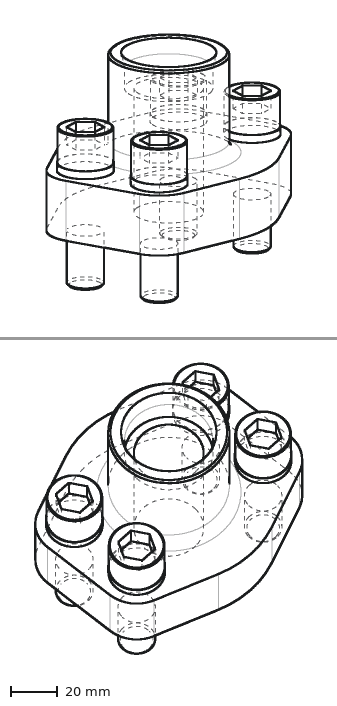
import cadquery as cq
import math

plate_width = 95.7
plate_length = 113.0
plate_thickness = 27.0
side_radius = plate_width / 2
screw_x = 36.5 / 2
screw_y = 79.4 / 2
corner_radius = plate_length / 2 - screw_y

collar_diameter = 52.0
collar_height = 45.0
collar_chamfer = 1.0
collar_fillet = 5.0
through_bore = 30.0
socket_diameter = 38.0
socket_depth = 16.0
mouth_depth = 6.8
mouth_half_angle = 12.0

washer_diameter = 24.4
washer_thickness = 3.5
head_diameter = 24.0
head_height = 16.0
head_chamfer = 0.5
shank_diameter = 16.0
shank_protrusion = 24.5
shank_chamfer = 1.0
hex_across_flats = 14.0
hex_depth = 8.0


def make_plate():
    """Plate with its underside on Z = 0."""
    screw_distance = math.hypot(screw_x, screw_y)
    tangent_angle = math.atan2(screw_y, screw_x) - math.acos((side_radius - corner_radius) / screw_distance)

    def on_corner(angle):
        return (screw_x + corner_radius * math.cos(angle), screw_y + corner_radius * math.sin(angle))

    side_x = side_radius * math.cos(tangent_angle)
    side_y = side_radius * math.sin(tangent_angle)
    corner_x, corner_y = on_corner(tangent_angle)
    middle_x, middle_y = on_corner((tangent_angle + math.pi / 2) / 2)
    end_y = plate_length / 2

    return (
        cq.Workplane("XY")
        .moveTo(side_x, -side_y)
        .threePointArc((side_radius, 0), (side_x, side_y))
        .lineTo(corner_x, corner_y)
        .threePointArc((middle_x, middle_y), (screw_x, end_y))
        .lineTo(-screw_x, end_y)
        .threePointArc((-middle_x, middle_y), (-corner_x, corner_y))
        .lineTo(-side_x, side_y)
        .threePointArc((-side_radius, 0), (-side_x, -side_y))
        .lineTo(-corner_x, -corner_y)
        .threePointArc((-middle_x, -middle_y), (-screw_x, -end_y))
        .lineTo(screw_x, -end_y)
        .threePointArc((middle_x, -middle_y), (corner_x, -corner_y))
        .close()
        .extrude(plate_thickness)
    )


def make_collar():
    """Chamfered collar standing on the plate, flared at its foot by a concave fillet."""
    radius = collar_diameter / 2
    top = plate_thickness + collar_height
    fillet_center_x = radius + collar_fillet
    fillet_center_z = plate_thickness + collar_fillet
    fillet_middle = (
        fillet_center_x - collar_fillet * math.cos(math.pi / 4),
        fillet_center_z - collar_fillet * math.sin(math.pi / 4),
    )
    return (
        cq.Workplane("XZ")
        .moveTo(0, 0)
        .lineTo(fillet_center_x, 0)
        .lineTo(fillet_center_x, plate_thickness)
        .threePointArc(fillet_middle, (radius, fillet_center_z))
        .lineTo(radius, top - collar_chamfer)
        .lineTo(radius - collar_chamfer, top)
        .lineTo(0, top)
        .close()
        .revolve(360, (0, 0), (0, 1))
    )


def make_bore():
    """Cutter for the through bore, the pipe socket above it and the conical mouth."""
    top = plate_thickness + collar_height
    socket_radius = socket_diameter / 2
    mouth_radius = socket_radius + mouth_depth * math.tan(math.radians(mouth_half_angle))
    return (
        cq.Workplane("XZ")
        .moveTo(0, 0)
        .lineTo(through_bore / 2, 0)
        .lineTo(through_bore / 2, top - socket_depth)
        .lineTo(socket_radius, top - socket_depth)
        .lineTo(socket_radius, top - mouth_depth)
        .lineTo(mouth_radius, top)
        .lineTo(0, top)
        .close()
        .revolve(360, (0, 0), (0, 1))
    )


def make_screw():
    """Screw and washer on the Z axis, with the washer seated on the plate's upper face."""
    shank = (
        cq.Workplane("XY", origin=(0, 0, -shank_protrusion))
        .circle(shank_diameter / 2)
        .extrude(shank_protrusion + plate_thickness)
        .faces("<Z")
        .chamfer(shank_chamfer)
    )
    washer = (
        cq.Workplane("XY", origin=(0, 0, plate_thickness))
        .circle(washer_diameter / 2)
        .extrude(washer_thickness)
    )
    head_seat = plate_thickness + washer_thickness
    head = (
        cq.Workplane("XY", origin=(0, 0, head_seat))
        .circle(head_diameter / 2)
        .extrude(head_height)
        .faces(">Z")
        .chamfer(head_chamfer)
    )
    hex_socket = (
        cq.Workplane("XY", origin=(0, 0, head_seat + head_height - hex_depth))
        .polygon(6, hex_across_flats, circumscribed=True)
        .extrude(hex_depth)
    )
    return shank.union(washer).union(head).cut(hex_socket)


result = make_plate().union(make_collar()).cut(make_bore())
screw = make_screw()
for x in (-screw_x, screw_x):
    for y in (-screw_y, screw_y):
        result = result.union(screw.translate((x, y, 0)))